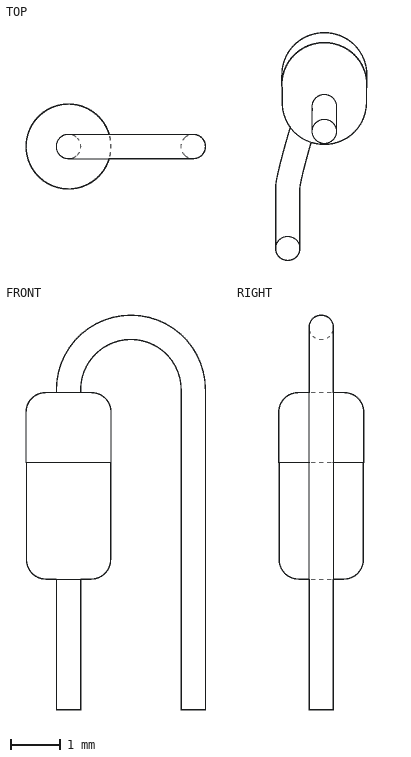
import cadquery as cq

total_height = 8.05
lead_diameter = 0.5
lead_spacing = 2.54
lead_radius = lead_diameter / 2
bend_radius = lead_spacing / 2
bend_start_z = total_height - bend_radius - lead_radius

barrel_diameter = 1.72
band_diameter = 1.74
body_bottom_z = 2.665
body_height = 3.81
band_height = 1.425
edge_radius = 0.4
body_top_z = body_bottom_z + body_height
band_bottom_z = body_top_z - band_height


def vertical_cylinder(x, bottom_z, top_z, diameter):
    """Cylinder along Z between two heights, centred at the given X."""
    base = cq.Workplane("XY", origin=(x, 0, bottom_z))
    return base.circle(diameter / 2).extrude(top_z - bottom_z)


barrel = vertical_cylinder(0, body_bottom_z, band_bottom_z, barrel_diameter)
barrel = barrel.faces("<Z").edges().fillet(edge_radius)
band = vertical_cylinder(0, band_bottom_z, body_top_z, band_diameter)
band = band.faces(">Z").edges().fillet(edge_radius)

axial_lead = vertical_cylinder(0, 0, bend_start_z, lead_diameter)
return_lead = vertical_cylinder(lead_spacing, 0, bend_start_z, lead_diameter)

bend = (
    cq.Workplane("XY", origin=(0, 0, bend_start_z))
    .circle(lead_radius)
    .revolve(180, (bend_radius, 0, 0), (bend_radius, 1, 0))
)

result = barrel.union(band).union(axial_lead).union(return_lead).union(bend)